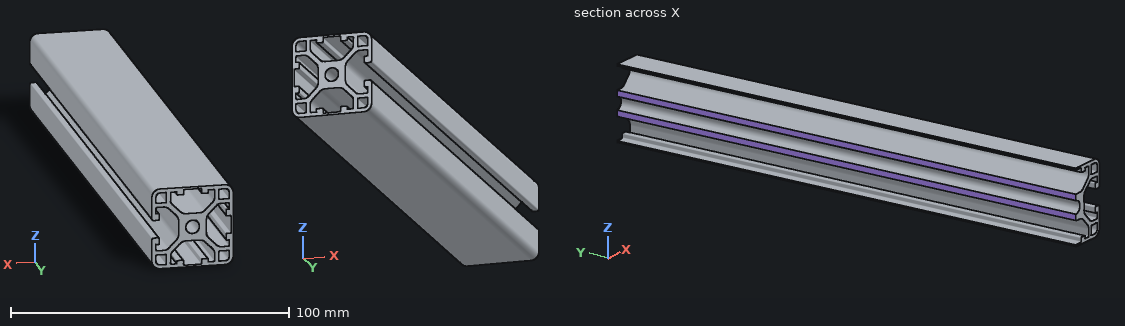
import cadquery as cq
import math

side = 30.0
length = 200.0
outer_radius = 3.0
half_side = side / 2

wall = 1.5
skin = 0.8
web_half_width = 1.0

core_half = 5.1
bore_diameter = 5.0

mouth_half = 3.28
lip_depth = 2.7
lip_half = 5.8
slot_half = 8.15
lip_radius = 0.4
skin_radius = 0.4
chamber_radius = 0.5
mouth_radius = 0.7
shoulder_radius = 2.75
root_radius = 3.1

cell_inner = 9.7
cell_outer = half_side - wall
cell_outer_radius = outer_radius - wall
cell_corner_radius = 0.3

quarter_turns = 4
open_quarter = 1


def section():
    """Workplane on the far end face, with local X = X, local Y = Z and extrusion toward -Y."""
    return cq.Workplane("XZ", origin=(0, length / 2, 0))


def mirrored_points(points):
    """Reflect points across the slot centre line and reverse their order."""
    return [(-x, z) for x, z in reversed(points)]


def round_edges(shape, points, radius):
    """Fillet the lengthwise edges that pass through the given section points."""
    picked = []
    for x, z in points:
        nearest = cq.selectors.NearestToPointSelector((x, 0, z))
        picked += shape.edges("|Y").edges(nearest).vals()
    return shape.newObject(picked).fillet(radius)


def make_body():
    """Solid bar with rounded long edges."""
    bar = section().rect(side, side).extrude(length)
    return bar.edges("|Y").fillet(outer_radius)


def make_slot(is_open):
    """Cutter for the slot at +Z; an open slot breaks through the outer face."""
    mouth_top = half_side if is_open else half_side - skin
    lip_bottom = half_side - lip_depth
    chamber_top = half_side - wall
    web_offset = web_half_width * math.sqrt(2)

    mouth_corner = (mouth_half, mouth_top)
    lip_tip = (mouth_half, lip_bottom)
    lip_back = (lip_half, lip_bottom)
    lip_root = (lip_half, chamber_top)
    chamber_corner = (slot_half, chamber_top)
    shoulder = (slot_half, slot_half + web_offset)
    web_root = (core_half - web_offset, core_half)

    half_outline = [mouth_corner, lip_tip, lip_back, lip_root, chamber_corner, shoulder, web_root]
    outline = half_outline + mirrored_points(half_outline)
    slot = section().polyline(outline).close().extrude(length)

    rounded_corners = [
        ([web_root], root_radius),
        ([shoulder], shoulder_radius),
        ([lip_tip, lip_back], lip_radius),
        ([chamber_corner], chamber_radius),
    ]
    if not is_open:
        rounded_corners.append(([mouth_corner], skin_radius))
    for corners, radius in rounded_corners:
        slot = round_edges(slot, corners + mirrored_points(corners), radius)
    return slot


def make_cell():
    """Cutter for the hollow cell in the +X +Z corner."""
    size = cell_outer - cell_inner
    centre = (cell_inner + cell_outer) / 2
    cell = section().center(centre, centre).rect(size, size).extrude(length)
    inner_corners = [(cell_inner, cell_inner), (cell_inner, cell_outer), (cell_outer, cell_inner)]
    cell = round_edges(cell, inner_corners, cell_corner_radius)
    return round_edges(cell, [(cell_outer, cell_outer)], cell_outer_radius)


def turned(shape, quarter):
    """Turn a shape about the bar axis; one quarter turn takes +Z to +X."""
    return shape.rotate((0, 0, 0), (0, 1, 0), quarter * 360 / quarter_turns)


def make_bore():
    """Cutter for the round hole along the core."""
    return section().circle(bore_diameter / 2).extrude(length)


def round_open_mouth(profile):
    """Round the outer edges of the open mouth on the +X face."""
    mouth_edges = [(half_side, mouth_half), (half_side, -mouth_half)]
    return round_edges(profile, mouth_edges, mouth_radius)


result = make_body().cut(make_bore())
for quarter in range(quarter_turns):
    result = result.cut(turned(make_slot(quarter == open_quarter), quarter))
    result = result.cut(turned(make_cell(), quarter))
result = round_open_mouth(result)